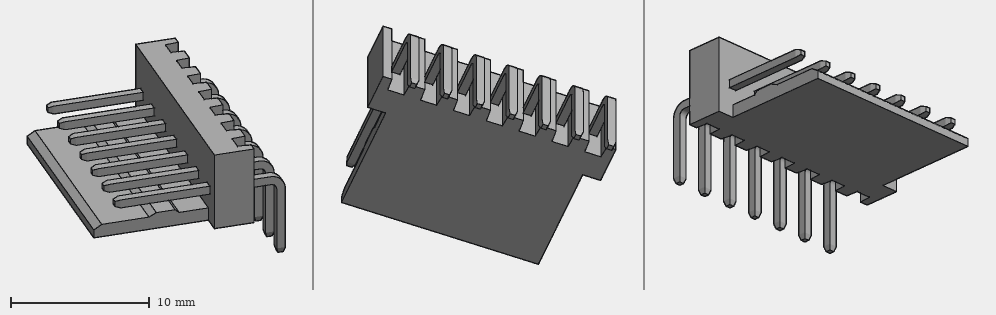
import cadquery as cq


pin_count = 7
pitch = 2.55
pin_positions = [(i - (pin_count - 1) / 2) * pitch for i in range(pin_count)]

housing_width = 18.03
housing_depth = 3.01
housing_height = 6.0

notch_depth = 1.01
notch_floor_width = 1.25
notch_mouth_width = 1.39

ramp_width = (pin_count - 1) * pitch
ramp_length = 8.69
ramp_thickness = 1.01
ramp_lip_height = 0.65
ramp_lip_bevel_length = 0.6

rib_height = 0.27
rib_back = 2.22
rib_top_back = 2.52
rib_top_front = 3.95
rib_front = 4.5

pin_size = 0.65
pin_axis_height = 2.61
pin_front_reach = 7.15
pin_back_reach = 2.72
pin_drop = 3.39
bend_outer_radius = 1.12
bend_inner_radius = bend_outer_radius - pin_size
tip_length = 0.4
tip_size = 0.4


def make_block():
    return (
        cq.Workplane("XY")
        .box(housing_width, housing_depth, housing_height, centered=(True, False, False))
    )


def make_notch(x):
    """Tapered cutter through the full height, wider at the back face."""
    mouth_y = housing_depth
    floor_y = housing_depth - notch_depth
    return (
        cq.Workplane("XY")
        .polyline([
            (x - notch_floor_width / 2, floor_y),
            (x + notch_floor_width / 2, floor_y),
            (x + notch_mouth_width / 2, mouth_y),
            (x - notch_mouth_width / 2, mouth_y),
        ])
        .close()
        .extrude(housing_height)
    )


def make_ramp():
    """Side profile of the ramp and its rib, extruded across the row."""
    rib_top = ramp_thickness + rib_height
    return (
        cq.Workplane("YZ")
        .polyline([
            (0, 0),
            (0, ramp_thickness),
            (-rib_back, ramp_thickness),
            (-rib_top_back, rib_top),
            (-rib_top_front, rib_top),
            (-rib_front, ramp_thickness),
            (-ramp_length + ramp_lip_bevel_length, ramp_thickness),
            (-ramp_length, ramp_lip_height),
            (-ramp_length, 0),
        ])
        .close()
        .extrude(ramp_width / 2, both=True)
    )


def make_tip(base_plane):
    """Tapered pin end, growing along the normal of the plane at the end of the shank."""
    return (
        cq.Workplane(base_plane)
        .rect(pin_size, pin_size)
        .workplane(offset=tip_length)
        .rect(tip_size, tip_size)
        .loft()
    )


def make_pin(x):
    """Square pin running back through the housing and bent down behind it."""
    top = pin_axis_height + pin_size / 2
    bottom = pin_axis_height - pin_size / 2
    back = housing_depth + pin_back_reach
    inner_back = back - pin_size
    bend_y = back - bend_outer_radius
    bend_z = top - bend_outer_radius
    shank_front = -pin_front_reach + tip_length
    shank_bottom = -pin_drop + tip_length

    shank = (
        cq.Workplane("YZ", origin=(x, 0, 0))
        .moveTo(shank_front, top)
        .lineTo(bend_y, top)
        .radiusArc((back, bend_z), bend_outer_radius)
        .lineTo(back, shank_bottom)
        .lineTo(inner_back, shank_bottom)
        .lineTo(inner_back, bend_z)
        .radiusArc((bend_y, bottom), -bend_inner_radius)
        .lineTo(shank_front, bottom)
        .close()
        .extrude(pin_size / 2, both=True)
    )
    front_tip = make_tip(cq.Plane(
        origin=(x, shank_front, pin_axis_height), xDir=(1, 0, 0), normal=(0, -1, 0)))
    lower_tip = make_tip(cq.Plane(
        origin=(x, back - pin_size / 2, shank_bottom), xDir=(1, 0, 0), normal=(0, 0, -1)))
    return shank.union(front_tip).union(lower_tip)


def make_housing(pins):
    """Notched block with its ramp, and a closely fitting hole around each pin."""
    housing = make_block().union(make_ramp())
    for x in pin_positions:
        housing = housing.cut(make_notch(x))
    for pin in pins:
        housing = housing.cut(pin)
    return housing


pins = [make_pin(x) for x in pin_positions]
housing = make_housing(pins)

result = cq.Compound.makeCompound([housing.solids().val(), *[pin.solids().val() for pin in pins]])